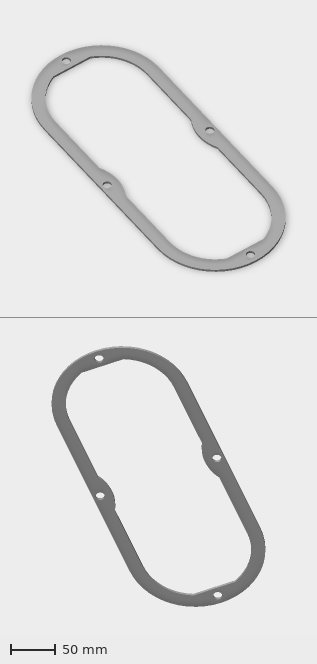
import cadquery as cq

length = 380.0
width = 159.0
thickness = 3.15
end_radius = width / 2

rim_width = 16.0
window_width = width - 2 * rim_width
window_end_radius = window_width / 2
window_length = 337.5
end_center_spacing = length - width

hole_diameter = 10.3
end_hole_offset = 179.5
side_hole_offset = 71.0
pad_half_width = 26.0
pad_rise = 7.0


def make_plate():
    return cq.Workplane("XY").slot2D(length, width).extrude(thickness)


def make_pad(side):
    """Arc-shaped pad reaching from the rim into the window, on the +Y or -Y side."""
    rim_edge = side * window_width / 2
    return (
        cq.Workplane("XY")
        .moveTo(-pad_half_width, rim_edge)
        .threePointArc((0, rim_edge - side * pad_rise), (pad_half_width, rim_edge))
        .close()
        .extrude(thickness)
    )


def make_window():
    """Slot concentric with the outline, cut flat at both ends, less the two pads."""
    slot_length = end_center_spacing + 2 * window_end_radius
    slot = cq.Workplane("XY").slot2D(slot_length, window_width).extrude(thickness)
    flat_ends = cq.Workplane("XY").rect(window_length, width).extrude(thickness)
    window = slot.intersect(flat_ends)
    for side in (1, -1):
        window = window.cut(make_pad(side))
    return window


def make_holes():
    centers = [
        (end_hole_offset, 0),
        (-end_hole_offset, 0),
        (0, side_hole_offset),
        (0, -side_hole_offset),
    ]
    return cq.Workplane("XY").pushPoints(centers).circle(hole_diameter / 2).extrude(thickness)


result = make_plate().cut(make_window()).cut(make_holes())